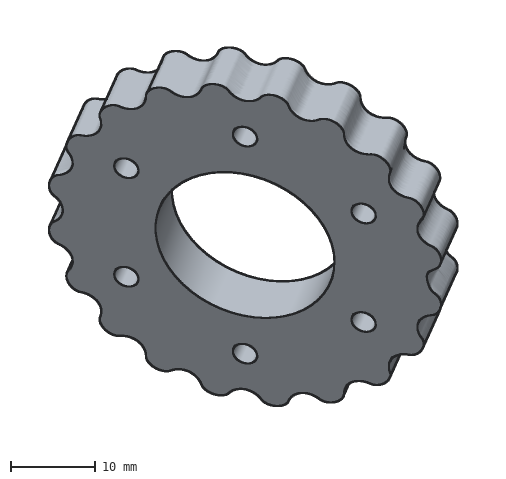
import cadquery as cq
import math

thickness = 7.0
lobe_count = 20
tip_radius = 24.6
eccentricity = 1.0
roller_radius = 2.3
bore_diameter = 22.2
bolt_hole_count = 6
bolt_hole_diameter = 3.0
bolt_circle_radius = 17.0

roller_count = lobe_count + 1
roller_circle_radius = tip_radius + roller_radius - eccentricity

FIRST_BOLT_ANGLE = 90.0

far_face = cq.Workplane("XZ", origin=(0, thickness / 2, 0))

POINTS_PER_LOBE = 16


def cycloid_point(angle):
    """Point of the lobed outline; the roller ring's trochoid offset inwards by one roller radius."""
    lobe_phase = lobe_count * angle
    offset_angle = math.atan2(
        math.sin(lobe_phase),
        math.cos(lobe_phase) - roller_circle_radius / (eccentricity * roller_count),
    )
    trochoid_x = roller_circle_radius * math.cos(angle) - eccentricity * math.cos(roller_count * angle)
    trochoid_z = roller_circle_radius * math.sin(angle) - eccentricity * math.sin(roller_count * angle)
    return (
        trochoid_x + roller_radius * math.cos(angle + offset_angle),
        trochoid_z + roller_radius * math.sin(angle + offset_angle),
    )


def lobed_disc():
    """Solid lobed disc, centred on the XZ plane, with a groove on +X and on +Z."""
    point_count = lobe_count * POINTS_PER_LOBE
    step = 2 * math.pi / point_count
    outline_points = [cycloid_point(step * index) for index in range(point_count)]
    outline = far_face.spline(outline_points, periodic=True).close()
    return outline.extrude(thickness)


def through_cylinders(workplane, diameter):
    """Cylinders through the whole thickness at the points of a workplane."""
    return workplane.circle(diameter / 2).extrude(thickness)


bore = through_cylinders(far_face, bore_diameter)
bolt_points = far_face.polarArray(bolt_circle_radius, FIRST_BOLT_ANGLE, 360, bolt_hole_count)
bolt_holes = through_cylinders(bolt_points, bolt_hole_diameter)

result = lobed_disc().cut(bore).cut(bolt_holes)